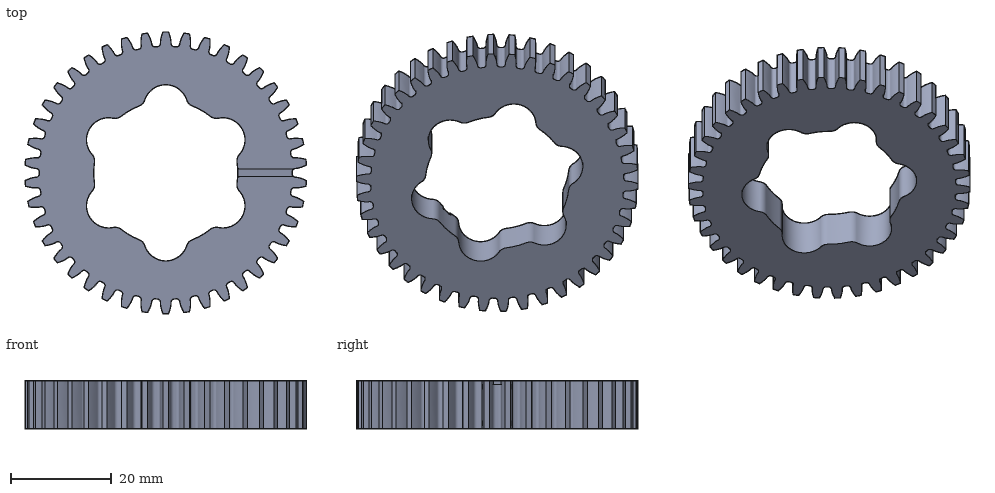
import cadquery as cq
import math

TOOTH_COUNT = 42
TIP_RADIUS = 27.95
FACE_WIDTH = 9.55
PRESSURE_ANGLE = math.radians(14.5)
ROOT_CLEARANCE = 0.25
ROOT_FILLET = 0.6
BACKLASH = 0.065

MODULE = 2 * TIP_RADIUS / (TOOTH_COUNT + 2)
PITCH_RADIUS = MODULE * TOOTH_COUNT / 2
BASE_RADIUS = PITCH_RADIUS * math.cos(PRESSURE_ANGLE)
ROOT_RADIUS = PITCH_RADIUS - (1 + ROOT_CLEARANCE) * MODULE
TOOTH_PITCH_DEGREES = 360 / TOOTH_COUNT

BORE_RADIUS = 14.25
LOBE_COUNT = 6
LOBE_RADIUS = 4.35
LOBE_CENTER_RADIUS = 13.1
LOBE_FILLET = 1.95

GROOVE_WIDTH = 1.5
GROOVE_DEPTH = 0.8
GROOVE_MOUTH_FILLET = 0.45

GAP_OVERSHOOT = 0.1
FLANK_STEPS = 5


def polar(radius, angle):
    return (radius * math.cos(angle), radius * math.sin(angle))


def involute(angle):
    return math.tan(angle) - angle


def tooth_half_angle(radius):
    """Half the angle a tooth spans at a radius; it stays constant below the base circle."""
    at_pitch = math.pi / (2 * TOOTH_COUNT) - BACKLASH / (2 * PITCH_RADIUS)
    roll = math.acos(BASE_RADIUS / max(radius, BASE_RADIUS))
    return at_pitch + involute(PRESSURE_ANGLE) - involute(roll)


def tooth_gap():
    """Cutter for the gap centred on +X, reaching just past the tip circle."""
    half_pitch = math.pi / TOOTH_COUNT
    outer_radius = TIP_RADIUS + GAP_OVERSHOOT
    step = (outer_radius - BASE_RADIUS) / FLANK_STEPS
    radii = [ROOT_RADIUS] + [BASE_RADIUS + i * step for i in range(FLANK_STEPS + 1)]
    upper = [polar(r, half_pitch - tooth_half_angle(r)) for r in radii]
    lower = [(x, -y) for x, y in reversed(upper)]
    gap = (
        cq.Workplane("XY")
        .moveTo(*lower[-1])
        .threePointArc((ROOT_RADIUS, 0), upper[0])
        .spline(upper[1:], includeCurrent=True)
        .lineTo(*lower[0])
        .spline(lower[1:], includeCurrent=True)
        .close()
        .extrude(FACE_WIDTH)
    )
    root_zone = cq.selectors.BoxSelector(
        (0, -TIP_RADIUS, 0),
        (BASE_RADIUS, TIP_RADIUS, FACE_WIDTH),
    )
    return gap.edges("|Z").edges(root_zone).fillet(ROOT_FILLET)


def gear_blank():
    blank = cq.Workplane("XY").circle(TIP_RADIUS).extrude(FACE_WIDTH)
    gap = tooth_gap().val()
    gaps = [gap.rotate((0, 0, 0), (0, 0, 1), i * TOOTH_PITCH_DEGREES) for i in range(TOOTH_COUNT)]
    return cq.Workplane(blank.val().cut(*gaps))


def lobed_bore():
    """Round bore with lobes, the first one on +Y, blended where they leave the bore."""
    lobes = (
        cq.Workplane("XY")
        .polarArray(LOBE_CENTER_RADIUS, 90, 360, LOBE_COUNT)
        .circle(LOBE_RADIUS)
        .extrude(FACE_WIDTH)
    )
    bore = cq.Workplane("XY").circle(BORE_RADIUS).extrude(FACE_WIDTH)
    return bore.union(lobes).edges("|Z").fillet(LOBE_FILLET)


def groove():
    """Groove along +X from the bore to the tooth gap."""
    length = ROOT_RADIUS + MODULE - LOBE_CENTER_RADIUS
    return (
        cq.Workplane("XY", origin=(LOBE_CENTER_RADIUS, 0, FACE_WIDTH - GROOVE_DEPTH))
        .box(length, GROOVE_WIDTH, GROOVE_DEPTH, centered=(False, True, False))
    )


def round_groove_mouth(gear):
    """Round the two upright edges where the groove walls meet the bore."""
    mouth = cq.selectors.BoxSelector(
        (BORE_RADIUS - GROOVE_WIDTH, -GROOVE_WIDTH, FACE_WIDTH - GROOVE_DEPTH),
        (BORE_RADIUS + GROOVE_WIDTH, GROOVE_WIDTH, FACE_WIDTH),
    )
    return gear.edges("|Z").edges(mouth).fillet(GROOVE_MOUTH_FILLET)


result = round_groove_mouth(gear_blank().cut(lobed_bore()).cut(groove()))